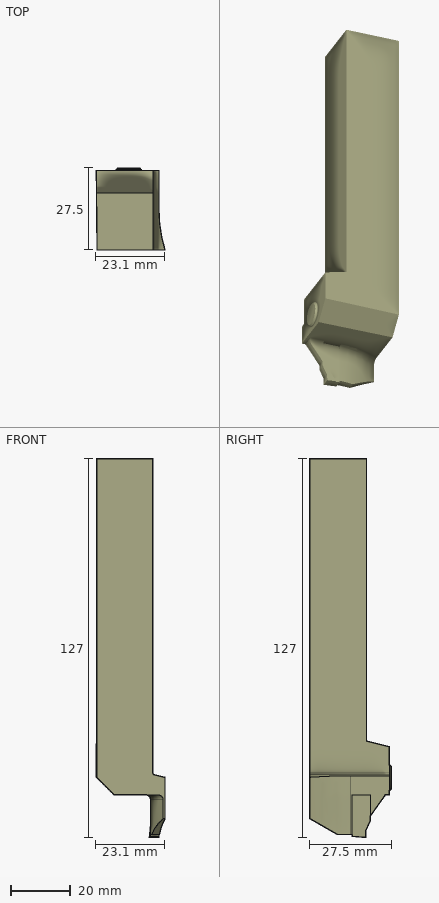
import cadquery as cq
import math

TOTAL_HEIGHT = 127.0
SHANK_SIZE = 19.0
SHANK_LEAN = 0.3

HEAD_DEPTH = 26.7
HEAD_BOTTOM = 14.4
BACK_STEP_TOP = 32.4
BACK_STEP_LOW = 30.5
SIDE_STEP_TOP = 21.2
SIDE_STEP_LOW = 20.2
SIDE_STEP_RADIUS = 0.5
CORNER_WIDTH = 6.0
CORNER_HEIGHT = 6.0

OUTER_X = 21.1
OUTER_FRONT_X = 23.1
OUTER_ARC_DEPTH = 13.6
INNER_X = 18.2
INNER_FRONT_X = 22.5
BLADE_BOTTOM = 1.0
BLADE_FRONT_BOTTOM = 6.4
BLADE_FLAT_START = 9.3
BLADE_BACK_TOP = 25.4
ROOT_RADIUS = 1.7

INSERT_FRONT = 14.2
INSERT_BACK = 20.3
INSERT_BEVEL_TOP = 5.6
TIP_BACK = 18.8
TIP_HEIGHT = 2.3
TIP_RISE = 0.4
FLARE = 0.4
FLARE_TOP = 4.0
FLARE_TOP_FRONT = 17.7
FLARE_LOW_FRONT = 15.5

SCREW_DIAMETER = 8.5
SCREW_HEIGHT = 0.8
SCREW_BEVEL = 0.5
SCREW_X = 10.9
SCREW_Z = 20.1


def side_prism(points, start, end):
    """Extrude a (y, z) outline along X."""
    return cq.Workplane("YZ").polyline(points).close().extrude(end - start).translate((start, 0, 0))


def arc_middle(straight_x, front_x, depth):
    """Middle point of an arc that leaves a straight face tangentially and reaches the front at y = 0."""
    offset = front_x - straight_x
    radius = (depth**2 + offset**2) / (2 * offset)
    half_angle = math.asin(depth / radius) / 2
    return (straight_x + radius * (1 - math.cos(half_angle)), depth - radius * math.sin(half_angle))


def outer_plan(left_back, left_front):
    """Plan outline with the curved outer face on its +X side."""
    return (
        cq.Workplane("XY")
        .moveTo(left_front, 0)
        .lineTo(OUTER_FRONT_X, 0)
        .threePointArc(arc_middle(OUTER_X, OUTER_FRONT_X, OUTER_ARC_DEPTH), (OUTER_X, OUTER_ARC_DEPTH))
        .lineTo(OUTER_X, HEAD_DEPTH)
        .lineTo(left_back, HEAD_DEPTH)
        .close()
        .extrude(TOTAL_HEIGHT)
    )


def space_beside_blade():
    """Space under the head on the inner side of the blade, with the rounded blade root."""
    space = (
        cq.Workplane("XY")
        .moveTo(-SHANK_SIZE, 0)
        .lineTo(INNER_FRONT_X, 0)
        .threePointArc(arc_middle(INNER_X, INNER_FRONT_X, INSERT_FRONT), (INNER_X, INSERT_FRONT))
        .lineTo(INNER_X, HEAD_DEPTH)
        .lineTo(-SHANK_SIZE, HEAD_DEPTH)
        .close()
        .extrude(HEAD_BOTTOM)
    )
    root_edges = cq.selectors.BoxSelector(
        (SHANK_SIZE / 2, 0, HEAD_BOTTOM / 2), (OUTER_FRONT_X, (HEAD_DEPTH + INSERT_BACK) / 2, TOTAL_HEIGHT)
    )
    return space.faces(">Z").edges(root_edges).fillet(ROOT_RADIUS)


def side_outline():
    """Holder outline across Y and Z."""
    return [
        (0, TOTAL_HEIGHT),
        (SHANK_SIZE, TOTAL_HEIGHT),
        (SHANK_SIZE, BACK_STEP_TOP),
        (HEAD_DEPTH, BACK_STEP_LOW),
        (HEAD_DEPTH, HEAD_BOTTOM),
        (BLADE_BACK_TOP, HEAD_BOTTOM),
        (INSERT_BACK, HEAD_BOTTOM / 2),
        (INSERT_FRONT, BLADE_BOTTOM),
        (BLADE_FLAT_START, BLADE_BOTTOM),
        (0, BLADE_FRONT_BOTTOM),
    ]


def shank_clearance():
    """Material beside the shank, down to the slope of the head."""
    beyond = 2 * SHANK_SIZE
    slope = (SIDE_STEP_TOP - SIDE_STEP_LOW) / (OUTER_FRONT_X - SHANK_SIZE)
    return (
        cq.Workplane("XZ")
        .polyline([
            (SHANK_SIZE, SIDE_STEP_TOP),
            (beyond, SIDE_STEP_TOP - slope * (beyond - SHANK_SIZE)),
            (beyond, TOTAL_HEIGHT),
            (SHANK_SIZE, TOTAL_HEIGHT),
        ])
        .close()
        .extrude(-HEAD_DEPTH)
        .edges("|Y and <X")
        .edges("<Z")
        .fillet(SIDE_STEP_RADIUS)
    )


def corner_bevel():
    """Wedge removed from the lower free corner of the head."""
    return (
        cq.Workplane("XZ")
        .polyline([
            (-CORNER_WIDTH, HEAD_BOTTOM + 2 * CORNER_HEIGHT),
            (CORNER_WIDTH, HEAD_BOTTOM),
            (-CORNER_WIDTH, HEAD_BOTTOM),
        ])
        .close()
        .extrude(-HEAD_DEPTH)
    )


def screw_head():
    """Bevelled round head standing on the back face of the holder."""
    return (
        cq.Workplane("XZ", origin=(SCREW_X, HEAD_DEPTH, SCREW_Z))
        .circle(SCREW_DIAMETER / 2)
        .extrude(-SCREW_HEIGHT)
        .faces(">Y")
        .chamfer(SCREW_BEVEL)
    )


def insert_seat():
    """Slot through the blade that takes the insert."""
    return side_prism(
        [(INSERT_FRONT, 0), (INSERT_BACK, 0), (INSERT_BACK, HEAD_BOTTOM), (INSERT_FRONT, HEAD_BOTTOM)],
        INNER_X - ROOT_RADIUS,
        OUTER_FRONT_X,
    )


def make_holder():
    body = outer_plan(0, SHANK_LEAN).intersect(side_prism(side_outline(), 0, OUTER_FRONT_X))
    body = body.cut(shank_clearance())
    body = body.cut(space_beside_blade())
    body = body.cut(corner_bevel())
    body = body.cut(insert_seat())
    return body.union(screw_head())


def insert_flare():
    """Sloped overhang that widens the insert toward its cutting edge."""
    bevel_run = (INSERT_BACK - TIP_BACK) * (FLARE_TOP - TIP_HEIGHT) / (INSERT_BEVEL_TOP - TIP_HEIGHT)
    low_front_z = TIP_RISE * (TIP_BACK - FLARE_LOW_FRONT) / (TIP_BACK - INSERT_FRONT)
    outline = [
        (TIP_BACK, 0),
        (TIP_BACK, TIP_HEIGHT),
        (TIP_BACK + bevel_run, FLARE_TOP),
        (FLARE_TOP_FRONT, FLARE_TOP),
        (FLARE_LOW_FRONT, low_front_z),
    ]
    slope = (
        cq.Workplane("XZ")
        .polyline([(INNER_X, 0), (INNER_X, FLARE_TOP), (INNER_X - FLARE, 0)])
        .close()
        .extrude(-HEAD_DEPTH)
    )
    return side_prism(outline, INNER_X - FLARE, INNER_X).intersect(slope)


def make_insert():
    shank = side_prism(
        [
            (INSERT_FRONT, TIP_RISE),
            (TIP_BACK, 0),
            (TIP_BACK, TIP_HEIGHT),
            (INSERT_BACK, INSERT_BEVEL_TOP),
            (INSERT_BACK, HEAD_BOTTOM),
            (INSERT_FRONT, HEAD_BOTTOM),
        ],
        INNER_X,
        OUTER_X,
    )
    return shank.union(insert_flare())


holder = make_holder()
insert = make_insert()

result = cq.Compound.makeCompound([holder.val(), insert.val()])